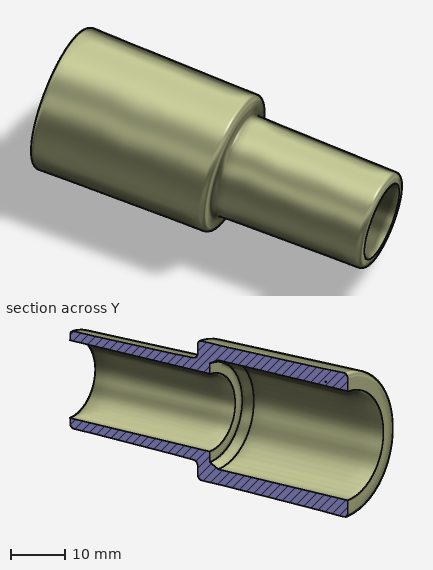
import cadquery as cq

length = 65.5
socket_length = 35.45
socket_mouth_radius = 28.1 / 2
socket_end_radius = 13.55
spigot_root_radius = 9.95
spigot_tip_radius = 9.5
edge_radius = 1.0

socket_bore_radius = 21.1 / 2
socket_floor_radius = 9.55
floor_cone_length = 1.95
floor_wall = 2.95
socket_bore_depth = socket_length - floor_wall
through_bore_radius = 15.0 / 2


def revolve_about_x(points):
    """Revolve a closed (x, radius) outline about the X axis."""
    return cq.Workplane("XY").polyline(points).close().revolve(360, (0, 0, 0), (1, 0, 0))


body = revolve_about_x([
    (0, 0),
    (0, socket_mouth_radius),
    (socket_length, socket_end_radius),
    (socket_length, spigot_root_radius),
    (length, spigot_tip_radius),
    (length, 0),
]).edges("%CIRCLE").fillet(edge_radius)

bore = revolve_about_x([
    (0, 0),
    (0, socket_bore_radius),
    (socket_bore_depth - floor_cone_length, socket_bore_radius),
    (socket_bore_depth, socket_floor_radius),
    (socket_bore_depth, through_bore_radius),
    (length, through_bore_radius),
    (length, 0),
])

result = body.cut(bore)